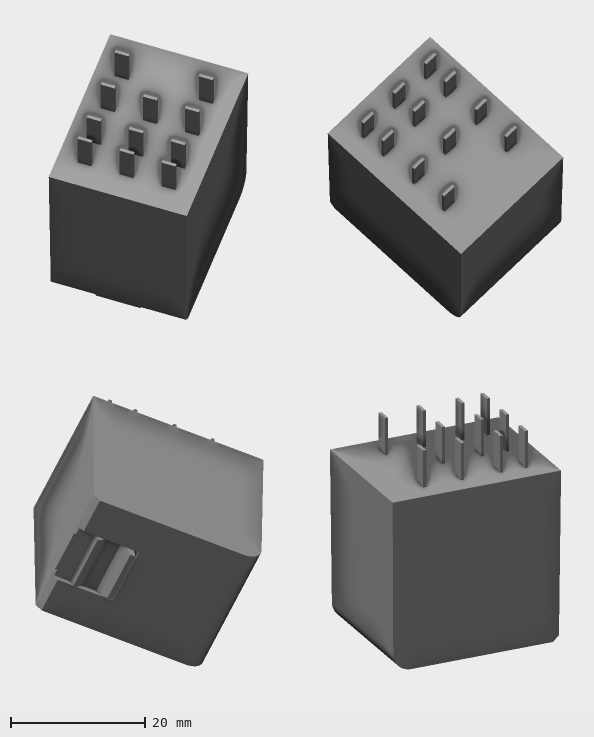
import cadquery as cq
import math

LENGTH_X = 21.8
LENGTH_Y = 27.8
HEIGHT = 27.8
DRAFT_ANGLE = 0.5
REAR_RADIUS = 3.0
FRONT_CHAMFER = 0.95

BLADE_WIDTH = 2.2
BLADE_THICKNESS = 0.5
BLADE_HEIGHT = 6.0
COLUMN_PITCH = 6.65
BLADE_SINK = 0.5
ROW_A_Y = -9.7
ROW_B_Y = -5.55
ROW_C_Y = 0.85
ROW_D_Y = 7.1
ALL_COLUMNS = (-1, 0, 1)
OUTER_COLUMNS = (-1, 1)
BLADE_ROWS = (
    (ROW_A_Y, ALL_COLUMNS),
    (ROW_B_Y, ALL_COLUMNS),
    (ROW_C_Y, ALL_COLUMNS),
    (ROW_D_Y, OUTER_COLUMNS),
)

SLOT_WIDTH = 9.4
SLOT_DEPTH = FRONT_CHAMFER
SLOT_LENGTH = 10.0

LATCH_WIDTH = 9.1
LIP_WIDTH = 6.8
LIP_RISE = 0.65
LIP_BEVEL = SLOT_DEPTH - LIP_RISE
HOOK_FRONT = 3.35
HOOK_RADIUS = 0.5
HOOK_DROP = 0.5
HOOK_TIP = 0.3
TAB_DROP = 0.7
TAB_TIP_WIDTH = 8.35
TAB_TIP_FRONT = 8.85
TAB_TIP_REAR = 9.65
TAB_ROOT_FRONT = TAB_TIP_FRONT - TAB_DROP - SLOT_DEPTH
TAB_REAR_SLOPE = 0.5
TAB_ROOT_REAR = TAB_TIP_REAR - TAB_REAR_SLOPE * (TAB_DROP + SLOT_DEPTH)

BOTTOM_Z = -HEIGHT
SLOT_CEILING_Z = BOTTOM_Z + SLOT_DEPTH
DRAFT_SLOPE = math.tan(math.radians(DRAFT_ANGLE))
FRONT_Y = -LENGTH_Y / 2 + HEIGHT * DRAFT_SLOPE


def make_housing():
    """Tapered box with a rounded rear and a chamfered front bottom edge."""
    box = cq.Workplane("XY").rect(LENGTH_X, LENGTH_Y).extrude(-HEIGHT, taper=DRAFT_ANGLE)
    rounded = box.faces("<Z").edges(">Y").fillet(REAR_RADIUS)
    return rounded.faces("<Z").edges("<Y").chamfer(FRONT_CHAMFER)


def make_slot():
    """Volume of the latch slot, running past the front face."""
    return (
        cq.Workplane("XY", origin=(0, FRONT_Y, BOTTOM_Z))
        .rect(SLOT_WIDTH, 2 * SLOT_LENGTH)
        .extrude(SLOT_DEPTH)
    )


def make_hook_bar(front_bevel):
    """Front lip, level ledge and rounded hook; front_bevel slopes the lip away below the ceiling."""
    ledge_z = BOTTOM_Z + LIP_RISE
    tip_z = BOTTOM_Z - HOOK_DROP
    hook_y = FRONT_Y + HOOK_FRONT
    tip_rear = hook_y + HOOK_TIP
    arc_inset = HOOK_RADIUS * (1 - math.sqrt(0.5))
    return (
        cq.Workplane("YZ", origin=(-LATCH_WIDTH / 2, 0, 0))
        .moveTo(FRONT_Y - SLOT_DEPTH * DRAFT_SLOPE, SLOT_CEILING_Z)
        .lineTo(FRONT_Y - LIP_RISE * DRAFT_SLOPE + front_bevel, ledge_z)
        .lineTo(hook_y - HOOK_RADIUS, ledge_z)
        .threePointArc((hook_y - arc_inset, ledge_z - arc_inset), (hook_y, ledge_z - HOOK_RADIUS))
        .lineTo(hook_y, tip_z)
        .lineTo(tip_rear, tip_z)
        .lineTo(tip_rear + HOOK_DROP + SLOT_DEPTH, SLOT_CEILING_Z)
        .close()
        .extrude(LATCH_WIDTH)
    )


def make_hook():
    """Hook bar with a bevelled lip, left unbevelled across a middle with 45-degree ends."""
    ledge_z = BOTTOM_Z + LIP_RISE
    middle = (
        cq.Workplane("XZ", origin=(0, -LENGTH_Y / 2, 0))
        .moveTo(-LIP_WIDTH / 2 - LIP_BEVEL, SLOT_CEILING_Z)
        .lineTo(-LIP_WIDTH / 2, ledge_z)
        .lineTo(LIP_WIDTH / 2, ledge_z)
        .lineTo(LIP_WIDTH / 2 + LIP_BEVEL, SLOT_CEILING_Z)
        .close()
        .extrude(-HOOK_FRONT)
    )
    lip = make_hook_bar(0).intersect(middle)
    return make_hook_bar(LIP_BEVEL).union(lip)


def make_rear_tab():
    """Tab that slopes to the rear, narrowing in X below the housing."""
    slab = (
        cq.Workplane("YZ", origin=(-LATCH_WIDTH / 2, 0, 0))
        .moveTo(FRONT_Y + TAB_ROOT_FRONT, SLOT_CEILING_Z)
        .lineTo(FRONT_Y + TAB_TIP_FRONT, BOTTOM_Z - TAB_DROP)
        .lineTo(FRONT_Y + TAB_TIP_REAR, BOTTOM_Z - TAB_DROP)
        .lineTo(FRONT_Y + TAB_ROOT_REAR, SLOT_CEILING_Z)
        .close()
        .extrude(LATCH_WIDTH)
    )
    outline = (
        cq.Workplane("XZ", origin=(0, FRONT_Y, 0))
        .moveTo(-LATCH_WIDTH / 2, SLOT_CEILING_Z)
        .lineTo(-LATCH_WIDTH / 2, BOTTOM_Z)
        .lineTo(-TAB_TIP_WIDTH / 2, BOTTOM_Z - TAB_DROP)
        .lineTo(TAB_TIP_WIDTH / 2, BOTTOM_Z - TAB_DROP)
        .lineTo(LATCH_WIDTH / 2, BOTTOM_Z)
        .lineTo(LATCH_WIDTH / 2, SLOT_CEILING_Z)
        .close()
        .extrude(-LENGTH_Y)
    )
    return slab.intersect(outline)


def make_blades():
    """All contact blades, sunk slightly into the housing so that they join it."""
    points = [(column * COLUMN_PITCH, y) for y, columns in BLADE_ROWS for column in columns]
    return (
        cq.Workplane("XY", origin=(0, 0, -BLADE_SINK))
        .pushPoints(points)
        .rect(BLADE_WIDTH, BLADE_THICKNESS)
        .extrude(BLADE_SINK + BLADE_HEIGHT)
    )


housing = make_housing().cut(make_slot())
result = housing.union(make_hook()).union(make_rear_tab()).union(make_blades())